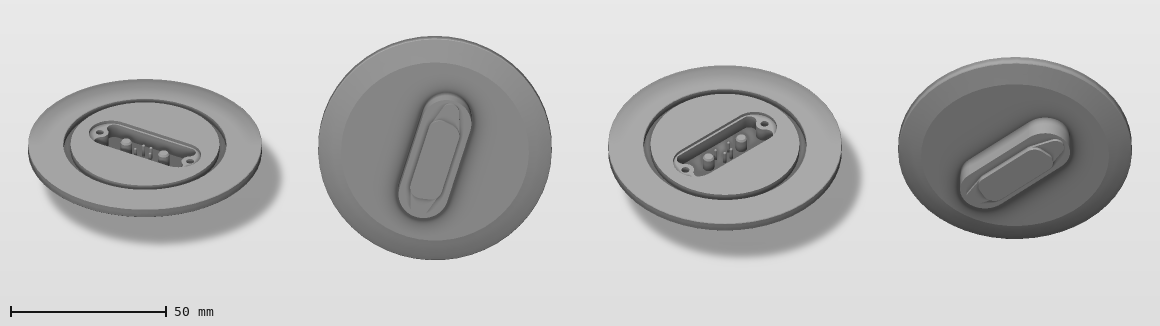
import cadquery as cq
import math


disc_radius = 37.465
rim_depth = 3.175
disc_depth = 5.08
cone_small_radius = 30.1
rim_chamfer = 0.2

groove_outer_radius = 26.1
groove_inner_radius = 23.85
groove_depth = 2.54
groove_chamfer = 0.2

body_end_spacing = 25.0
body_width = 16.0
body_depth = 12.7

ledge_width = 14.3
ledge_depth = 1.1
pocket_width = 12.9
pocket_depth = 5.9
pocket_corner_radius = 2.3
pocket_corner_x = 13.75

screw_x = 16.7
screw_diameter = 2.56
screw_hole_depth = pocket_depth

post_diameter = 3.61
post_x = 6.9
post_top_depth = ledge_depth
post_chamfer_height = 0.6
post_chamfer_width = 0.43
pin_top_depth = 1.7
pin_fillet = 0.4
back_pin_diameter = 1.02
back_pin_x = 1.36
back_pin_y = 1.47
front_pin_diameter = 0.94
front_pin_x = 2.71
front_pin_y = -1.45

flange_depth = 13.6
flange_tip_radius = 2.85
shell_depth = 14.71
shell_width = 10.28
shell_front_corner_x = 9.3
shell_corner_radius = 3.7
shell_end_angle = math.radians(10)


def stadium(end_spacing, width, top_depth, bottom_depth):
    return (
        cq.Workplane("XY")
        .workplane(offset=-bottom_depth)
        .slot2D(end_spacing + width, width)
        .extrude(bottom_depth - top_depth)
    )


def point_on_circle(center, radius, angle):
    return (center[0] + radius * math.cos(angle), center[1] + radius * math.sin(angle))


def mirrored(point, x_sign, y_sign):
    return (x_sign * point[0], y_sign * point[1])


def make_disc():
    profile = [
        (0, 0),
        (disc_radius - rim_chamfer, 0),
        (disc_radius, -rim_chamfer),
        (disc_radius, -rim_depth + rim_chamfer),
        (disc_radius - rim_chamfer, -rim_depth),
        (cone_small_radius, -disc_depth),
        (0, -disc_depth),
    ]
    return cq.Workplane("XZ").polyline(profile).close().revolve(360, (0, 0), (0, 1))


def make_groove():
    profile = [
        (groove_inner_radius, 0),
        (groove_outer_radius + groove_chamfer, 0),
        (groove_outer_radius, -groove_chamfer),
        (groove_outer_radius, -groove_depth),
        (groove_inner_radius, -groove_depth),
    ]
    return cq.Workplane("XZ").polyline(profile).close().revolve(360, (0, 0), (0, 1))


def make_pocket():
    half_width = pocket_width / 2
    corner = (pocket_corner_x, half_width - pocket_corner_radius)
    angle = math.atan2(corner[1], corner[0] - screw_x)
    lobe_radius = math.hypot(corner[0] - screw_x, corner[1]) - pocket_corner_radius
    middle_angle = (angle - math.pi / 2) / 2
    tangent = point_on_circle((screw_x, 0), lobe_radius, angle)
    start = (pocket_corner_x, half_width)
    corner_middle = point_on_circle(corner, pocket_corner_radius, middle_angle)
    lobe_middle = (screw_x - lobe_radius, 0)
    outline = (
        cq.Workplane("XY")
        .workplane(offset=-pocket_depth)
        .moveTo(*mirrored(start, -1, 1))
        .lineTo(*start)
        .threePointArc(corner_middle, tangent)
        .threePointArc(lobe_middle, mirrored(tangent, 1, -1))
        .threePointArc(mirrored(corner_middle, 1, -1), mirrored(start, 1, -1))
        .lineTo(*mirrored(start, -1, -1))
        .threePointArc(mirrored(corner_middle, -1, -1), mirrored(tangent, -1, -1))
        .threePointArc(mirrored(lobe_middle, -1, 1), mirrored(tangent, -1, 1))
        .threePointArc(mirrored(corner_middle, -1, 1), mirrored(start, -1, 1))
        .close()
    )
    return outline.extrude(pocket_depth - ledge_depth)


def make_screw_holes():
    return (
        cq.Workplane("XY")
        .workplane(offset=-screw_hole_depth)
        .pushPoints([(-screw_x, 0), (screw_x, 0)])
        .circle(screw_diameter / 2)
        .extrude(screw_hole_depth)
    )


def make_pin_pair(x, y, diameter, top_depth):
    return (
        cq.Workplane("XY")
        .workplane(offset=-pocket_depth)
        .pushPoints([(-x, y), (x, y)])
        .circle(diameter / 2)
        .extrude(pocket_depth - top_depth)
    )


def make_posts():
    posts = make_pin_pair(post_x, 0, post_diameter, post_top_depth)
    return posts.faces(">Z").edges().chamfer(post_chamfer_height, post_chamfer_width)


def make_contact_pins(x, y, diameter):
    pins = make_pin_pair(x, y, diameter, pin_top_depth)
    return pins.faces(">Z").edges().fillet(pin_fillet)


def make_flange():
    half_width = shell_width / 2
    shoulder = (shell_front_corner_x, half_width - shell_corner_radius)
    tip = (screw_x, 0)
    run = tip[0] - shoulder[0]
    drop = shoulder[1]
    slope = math.atan2(drop, run)
    slope += math.asin((shell_corner_radius - flange_tip_radius) / math.hypot(run, drop))
    normal = math.pi / 2 - slope
    start = (shoulder[0], half_width)
    shoulder_middle = point_on_circle(shoulder, shell_corner_radius, (math.pi / 2 + normal) / 2)
    shoulder_end = point_on_circle(shoulder, shell_corner_radius, normal)
    tip_start = point_on_circle(tip, flange_tip_radius, normal)
    tip_end = (tip[0] + flange_tip_radius, 0)
    outline = (
        cq.Workplane("XY")
        .workplane(offset=-flange_depth)
        .moveTo(*mirrored(start, -1, 1))
        .lineTo(*start)
        .threePointArc(shoulder_middle, shoulder_end)
        .lineTo(*tip_start)
        .threePointArc(tip_end, mirrored(tip_start, 1, -1))
        .lineTo(*mirrored(shoulder_end, 1, -1))
        .threePointArc(mirrored(shoulder_middle, 1, -1), mirrored(start, 1, -1))
        .lineTo(*mirrored(start, -1, -1))
        .threePointArc(mirrored(shoulder_middle, -1, -1), mirrored(shoulder_end, -1, -1))
        .lineTo(*mirrored(tip_start, -1, -1))
        .threePointArc(mirrored(tip_end, -1, 1), mirrored(tip_start, -1, 1))
        .lineTo(*mirrored(shoulder_end, -1, 1))
        .threePointArc(mirrored(shoulder_middle, -1, 1), mirrored(start, -1, 1))
        .close()
    )
    return outline.extrude(flange_depth - body_depth)


def make_shell():
    half_width = shell_width / 2
    setback = shell_corner_radius * math.tan((math.pi / 2 - shell_end_angle) / 2)
    front_x = shell_front_corner_x + setback
    back_x = front_x + shell_width * math.tan(shell_end_angle)
    corners = [
        (-front_x, -half_width),
        (front_x, -half_width),
        (back_x, half_width),
        (-back_x, half_width),
    ]
    return (
        cq.Workplane("XY")
        .workplane(offset=-shell_depth)
        .polyline(corners)
        .close()
        .extrude(shell_depth - body_depth)
        .edges("|Z")
        .fillet(shell_corner_radius)
    )


body = stadium(body_end_spacing, body_width, rim_depth, body_depth)
ledge_recess = stadium(body_end_spacing, ledge_width, 0, ledge_depth)

result = (
    make_disc()
    .union(body)
    .union(make_flange())
    .union(make_shell())
    .cut(make_groove())
    .cut(ledge_recess)
    .cut(make_pocket())
    .cut(make_screw_holes())
    .union(make_posts())
    .union(make_contact_pins(back_pin_x, back_pin_y, back_pin_diameter))
    .union(make_contact_pins(front_pin_x, front_pin_y, front_pin_diameter))
)